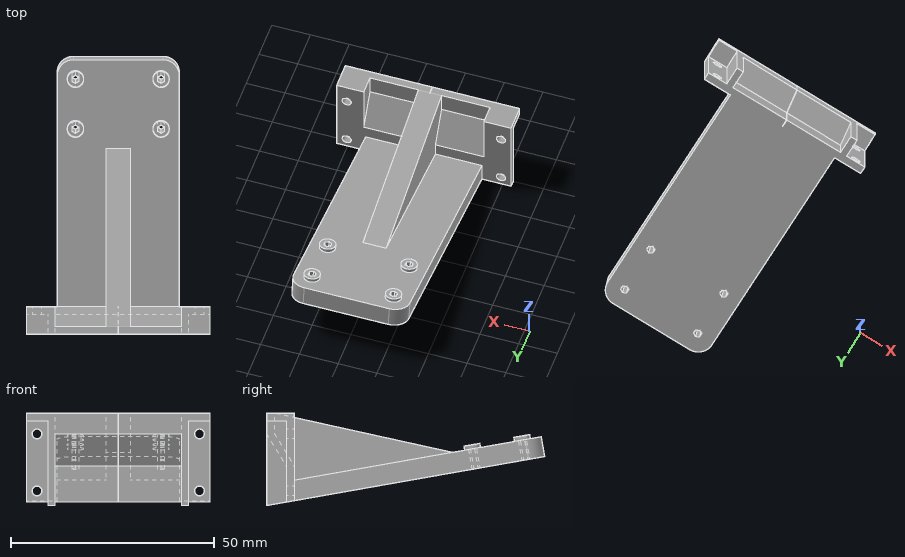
import cadquery as cq
import math

TILT = 10.0
LENGTH = 68.2
HEIGHT = 22.7
FLANGE_WIDTH = 45.0
FLANGE_DEPTH = 6.8
WALL = 2.0

CHANNEL_WIDTH = 31.0
CHEEK = 1.8
WEB_BEND_TOP = 17.6
WEB_BEND_BOTTOM = 9.7
SLIT_WIDTH = 0.1
FLANGE_HOLE = 2.3
FLANGE_HOLE_X = 19.9
FLANGE_HOLE_Z = (3.6, 17.6)

ARM_WIDTH = 30.0
ARM_THICKNESS = 5.0
ARM_CORNER = 4.0
BOSS_DIAMETER = 4.0
BOSS_HEIGHT = 1.0
BOSS_HOLE = 2.0
BOSS_X = 10.5
BOSS_END_DISTANCE = 4.7
BOSS_ROW_PITCH = 12.4

RIB_WIDTH = 6.0
RIB_REACH = 45.55

ARM_LENGTH = LENGTH / math.cos(math.radians(TILT))
SLOPE = math.tan(math.radians(TILT))
EAR_FRONT = FLANGE_DEPTH - WALL


def extrude_profile(points, width):
    """Extrude a closed (Y, Z) outline symmetrically about X = 0."""
    return cq.Workplane("YZ").polyline(points).close().extrude(width / 2, both=True)


def box_between(x0, x1, y0, y1, z0, z1):
    return cq.Workplane("XY").box(x1 - x0, y1 - y0, z1 - z0, centered=False).translate((x0, y0, z0))


def make_flange():
    """Mounting flange with side pockets, a split folded web and a sloping bottom."""
    outline = [(0, 0), (FLANGE_DEPTH, FLANGE_DEPTH * SLOPE), (FLANGE_DEPTH, HEIGHT), (0, HEIGHT)]
    flange = extrude_profile(outline, FLANGE_WIDTH)

    front_recess = [(0, 0), (EAR_FRONT, 0), (EAR_FRONT, WEB_BEND_BOTTOM), (0, WEB_BEND_TOP)]
    back_recess = [
        (WALL, HEIGHT),
        (WALL, WEB_BEND_TOP),
        (FLANGE_DEPTH, WEB_BEND_BOTTOM),
        (FLANGE_DEPTH, HEIGHT),
    ]
    for recess in (front_recess, back_recess):
        flange = flange.cut(extrude_profile(recess, CHANNEL_WIDTH))

    cheek_outside = CHANNEL_WIDTH / 2 + CHEEK
    pocket = box_between(cheek_outside, FLANGE_WIDTH / 2, 0, EAR_FRONT, 0, HEIGHT - WALL)
    flange = flange.cut(pocket).cut(pocket.mirror("YZ"))

    hole_centers = [(x, z) for x in (-FLANGE_HOLE_X, FLANGE_HOLE_X) for z in FLANGE_HOLE_Z]
    holes = cq.Workplane("XZ").pushPoints(hole_centers).circle(FLANGE_HOLE / 2).extrude(-FLANGE_DEPTH)
    slit = box_between(-SLIT_WIDTH / 2, SLIT_WIDTH / 2, 0, FLANGE_DEPTH, 0, HEIGHT)
    return flange.cut(holes).cut(slit)


def make_arm():
    """Flat arm with rounded tip corners and bosses, tilted upward."""
    arm = box_between(-ARM_WIDTH / 2, ARM_WIDTH / 2, 0, ARM_LENGTH, 0, ARM_THICKNESS)
    arm = arm.edges("|Z and >Y").fillet(ARM_CORNER)

    outer_row = ARM_LENGTH - BOSS_END_DISTANCE
    centers = [(x, y) for x in (-BOSS_X, BOSS_X) for y in (outer_row - BOSS_ROW_PITCH, outer_row)]
    boss_top = ARM_THICKNESS + BOSS_HEIGHT
    bosses = cq.Workplane("XY").pushPoints(centers).circle(BOSS_DIAMETER / 2).extrude(boss_top)
    turned_centers = [(y, -x) for x, y in centers]
    holes = cq.Workplane("XY").pushPoints(turned_centers).polygon(6, BOSS_HOLE).extrude(boss_top)
    holes = holes.rotate((0, 0, 0), (0, 0, 1), 90)
    arm = arm.union(bosses).cut(holes).rotate((0, 0, 0), (1, 0, 0), TILT)

    flange_space = box_between(-ARM_WIDTH, ARM_WIDTH, -FLANGE_DEPTH, FLANGE_DEPTH, -HEIGHT, HEIGHT)
    return arm.cut(flange_space)


def make_rib():
    """Triangular rib from the top of the web down to the arm surface."""
    arm_top_offset = ARM_THICKNESS / math.cos(math.radians(TILT))
    outline = [
        (WALL, HEIGHT),
        (WALL, WEB_BEND_TOP),
        (FLANGE_DEPTH, WEB_BEND_BOTTOM),
        (FLANGE_DEPTH, arm_top_offset + FLANGE_DEPTH * SLOPE),
        (RIB_REACH, arm_top_offset + RIB_REACH * SLOPE),
    ]
    return extrude_profile(outline, RIB_WIDTH)


result = make_flange().union(make_arm()).union(make_rib())